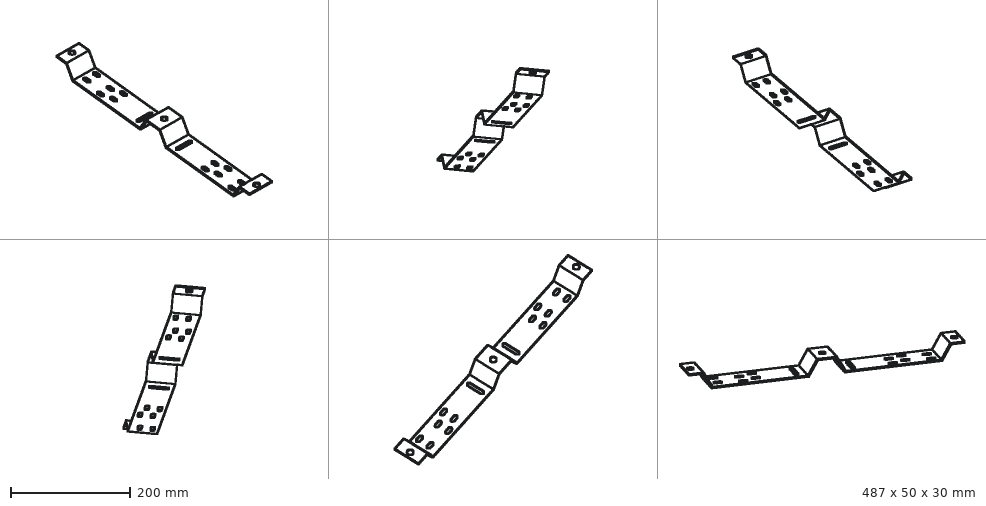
import cadquery as cq
import math

length = 487.0
width = 50.0
height = 30.0
thickness = 2.5

end_flat_length = 25.5
middle_flat_length = 35.0
leg_angle = 60.0

hole_diameter = 11.0
end_hole_inset = 10.0

cross_slot_length = 34.0
cross_slot_width = 7.0
cross_slot_x = 49.5

slot_length = 14.5
slot_width = 7.0
slot_pair_spacing = 22.0
slot_pairs = [
    (-187.5, 14.5),
    (-144.5, 7.5),
    (-120.0, 14.5),
]

half_length = length / 2
half_middle_flat = middle_flat_length / 2
leg_run = (height - thickness) / math.tan(math.radians(leg_angle))

bend_shift = thickness * math.tan(math.radians(leg_angle / 2))


def make_strip():
    """Extrude the bent sheet profile across the width, centred on Y."""
    end_bend = half_length - end_flat_length
    upper = [
        (half_middle_flat, height),
        (half_middle_flat + leg_run, thickness),
        (end_bend - leg_run, thickness),
        (end_bend, height),
        (half_length, height),
    ]
    lower = [
        (half_middle_flat - bend_shift, height - thickness),
        (half_middle_flat + leg_run - bend_shift, 0),
        (end_bend - leg_run + bend_shift, 0),
        (end_bend + bend_shift, height - thickness),
        (half_length, height - thickness),
    ]
    half_outline = upper + lower[::-1]
    mirrored_half = [(-x, z) for x, z in reversed(half_outline)]
    return (
        cq.Workplane("XZ")
        .polyline(half_outline + mirrored_half)
        .close()
        .extrude(width / 2, both=True)
    )


def hole_cutters():
    end_hole_x = half_length - end_hole_inset
    centres = [(x, 0) for x in (-end_hole_x, 0, end_hole_x)]
    return cq.Workplane("XY").pushPoints(centres).circle(hole_diameter / 2).extrude(height)


def cross_slot_cutters():
    centres = [(-cross_slot_x, 0), (cross_slot_x, 0)]
    return (
        cq.Workplane("XY")
        .pushPoints(centres)
        .slot2D(cross_slot_length, cross_slot_width, 90)
        .extrude(thickness)
    )


def lengthwise_slot_cutters():
    """The +X floor repeats the -X slots turned half a turn about Z."""
    centres = []
    for x, upper_y in slot_pairs:
        for y in (upper_y, upper_y - slot_pair_spacing):
            centres += [(x, y), (-x, -y)]
    return (
        cq.Workplane("XY")
        .pushPoints(centres)
        .slot2D(slot_length, slot_width)
        .extrude(thickness)
    )


result = (
    make_strip()
    .cut(hole_cutters())
    .cut(cross_slot_cutters())
    .cut(lengthwise_slot_cutters())
)